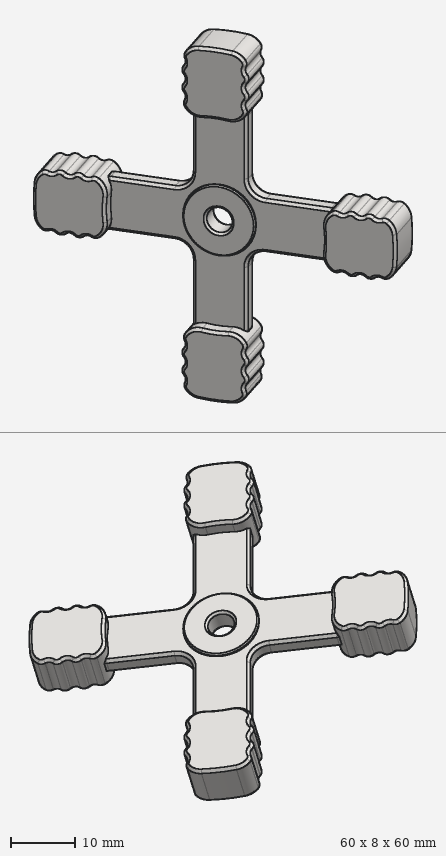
import cadquery as cq
import math

arm_width = 9.0
arm_thickness = 3.0
arm_chamfer = 0.5
arm_corner_radius = 3.0
arm_reach = 21.2

hub_diameter = 12.0
hub_thickness = 4.0
hub_chamfer = 0.25
bore_diameter = 4.2
bore_chamfer = 0.4

pad_count = 4
pad_outer_radius = 30.0
pad_inner_radius = 18.0
pad_thickness = 8.0
pad_chamfer = 0.5
pad_half_width = 5.5
pad_corner_radius = 3.0
pad_middle = (pad_outer_radius + pad_inner_radius) / 2

groove_pitch = 3.0
scallop_radius = 1.15
ridge_x = pad_half_width - scallop_radius


def centred_prism(sketch, thickness):
    """Extrude an XZ profile symmetrically about Y = 0."""
    return sketch.extrude(thickness / 2, both=True)


def make_cross():
    upright = centred_prism(cq.Workplane("XZ").rect(arm_width, 2 * arm_reach), arm_thickness)
    crossbar = centred_prism(cq.Workplane("XZ").rect(2 * arm_reach, arm_width), arm_thickness)
    cross = upright.union(crossbar).edges("|Y").fillet(arm_corner_radius)
    return cross.faces("<Y or >Y").chamfer(arm_chamfer)


def make_hub():
    hub = centred_prism(cq.Workplane("XZ").circle(hub_diameter / 2), hub_thickness)
    return hub.faces("<Y or >Y").chamfer(hub_chamfer)


def make_bore():
    bore = centred_prism(cq.Workplane("XZ").circle(bore_diameter / 2), hub_thickness)
    mouth_radius = bore_diameter / 2 + bore_chamfer
    for side in (-1, 1):
        mouth = cq.Solid.makeCone(
            mouth_radius,
            bore_diameter / 2,
            bore_chamfer,
            pnt=cq.Vector(0, side * hub_thickness / 2, 0),
            dir=cq.Vector(0, -side, 0),
        )
        bore = bore.union(cq.Workplane(obj=mouth))
    return bore


def corner_circle(centre_distance):
    """Corner round centred at the given distance from the hub axis; a circle is (x, z, radius)."""
    x = pad_half_width - pad_corner_radius
    return (x, math.sqrt(centre_distance**2 - x**2), pad_corner_radius)


def lobe_circle(groove, corner, outward):
    """Circle blending a groove into a corner round; outward is 1 at the pad's outer end, -1 at its inner."""
    to_groove = groove[2] + scallop_radius
    to_corner = corner[2] - scallop_radius
    dx = groove[0] - corner[0]
    dz = groove[1] - corner[1]
    spacing = math.hypot(dx, dz)
    along = (spacing**2 + to_corner**2 - to_groove**2) / (2 * spacing)
    across = math.sqrt(to_corner**2 - along**2)
    x = corner[0] + (along * dx - outward * across * dz) / spacing
    z = corner[1] + (along * dz + outward * across * dx) / spacing
    return (x, z, scallop_radius)


def side_circles():
    """Mutually tangent circles up the right side of the +Z pad, inner corner to outer corner."""
    groove_x = ridge_x + math.sqrt((2 * scallop_radius) ** 2 - (groove_pitch / 2) ** 2)
    scallops = []
    for step in range(-2, 3):
        x = groove_x if step % 2 == 0 else ridge_x
        scallops.append((x, pad_middle + step * groove_pitch / 2, scallop_radius))

    inner_corner = corner_circle(pad_inner_radius + pad_corner_radius)
    outer_corner = corner_circle(pad_outer_radius - pad_corner_radius)
    inner_lobe = lobe_circle(scallops[0], inner_corner, -1)
    outer_lobe = lobe_circle(scallops[-1], outer_corner, 1)
    return [inner_corner, inner_lobe] + scallops + [outer_lobe, outer_corner]


def touch_point(first, second):
    """Point where two tangent circles meet."""
    large, small = (first, second) if first[2] > second[2] else (second, first)
    return point_towards(large, small[0], small[1])


def point_towards(circle, x, z):
    """Point of a circle in the direction of (x, z) from its centre."""
    distance = math.hypot(x - circle[0], z - circle[1])
    reach = circle[2] / distance
    return (circle[0] + reach * (x - circle[0]), circle[1] + reach * (z - circle[1]))


def split_arc(outline, circle, start, crest, end):
    """Arc drawn in two halves so that the crest becomes an edge."""
    rising = point_towards(circle, (start[0] + crest[0]) / 2, (start[1] + crest[1]) / 2)
    falling = point_towards(circle, (crest[0] + end[0]) / 2, (crest[1] + end[1]) / 2)
    return outline.threePointArc(rising, crest).threePointArc(falling, end)


def make_pad():
    """Pad on the +Z arm, outlined by a closed chain of tangent circles."""
    right = side_circles()
    left = [(-x, z, radius) for x, z, radius in reversed(right)]
    chain = [(0, 0, pad_inner_radius)] + right + [(0, 0, pad_outer_radius)] + left
    joints = [touch_point(circle, following) for circle, following in zip(chain, chain[1:] + chain[:1])]

    outline = cq.Workplane("XZ").moveTo(*joints[-1])
    for start, circle, end in zip(joints[-1:] + joints[:-1], chain, joints):
        middle = point_towards(circle, (start[0] + end[0]) / 2, (start[1] + end[1]) / 2)
        if circle[0] in (ridge_x, -ridge_x):
            outline = split_arc(outline, circle, start, middle, end)
        else:
            outline = outline.threePointArc(middle, end)
    return centred_prism(outline.close(), pad_thickness).faces("<Y or >Y").chamfer(pad_chamfer)


part = make_cross().union(make_hub())
pad = make_pad()
for index in range(pad_count):
    turn = index * 360 / pad_count
    part = part.union(pad.rotate((0, 0, 0), (0, 1, 0), turn))

result = part.cut(make_bore())